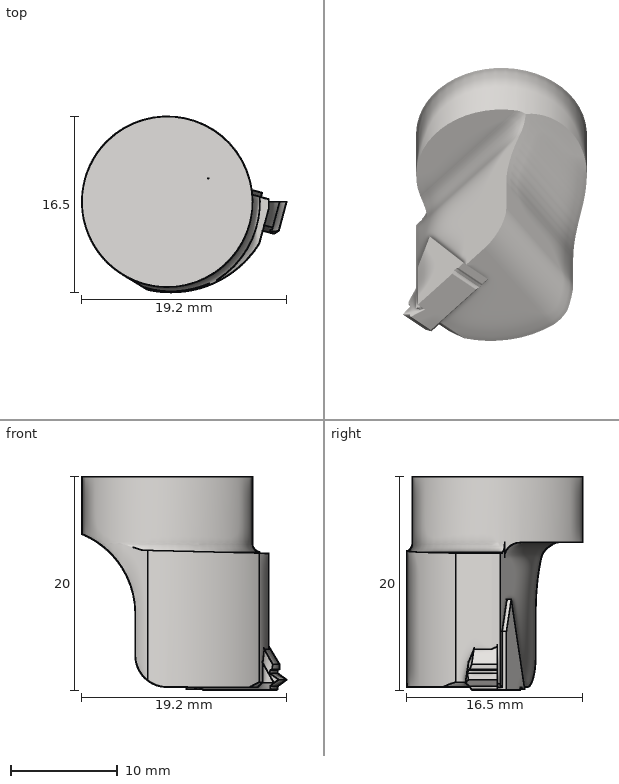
import cadquery as cq
import math

disc_radius = 8.0
total_height = 20.0
disc_bottom = 13.85

head_bottom = 0.28
tilt = math.radians(15)
side_offset = 9.35
back_depth = -2.7
side_limit_x = 9.55
nose_x, nose_y = 0.4, 1.2
nose_radius = 9.7
flat_angle = math.radians(-121.5)
flat_end_x = -1.85

ledge_left_z = 13.1
ledge_right_z = 12.82
flare_width, flare_height = 0.7, 0.9
back_fillet = 1.4

wall_x = -3.0
clearance_radius = 8.0
clearance_z = 7.2
heel_radius = 3.0

side_chamfer_width = 0.55
side_chamfer_height = 0.48

insert_back = -3.12
insert_front = 0.32
rake_start = 8.38
land_u, land_top, land_bottom = 10.18, 2.42, 1.95
notch_u, notch_top, notch_bottom = 10.02, 1.88, 1.58
tip_x, tip_z = 11.2, 0.98
heel_u, heel_z = 10.0, 0.35
edge_break = 0.1
rest_start, rest_rise = 3.45, 0.25
left_tooth_start, left_tooth_end, left_tooth_z = 1.8, 2.6, 0.08
flank_angle = math.radians(60)
bevel_u, bevel_z = 9.85, 1.68
bevel_width, bevel_depth = 2.5, 2.1
front_chamfer_height, front_chamfer_depth = 0.7, 0.52

REACH = 40.0
cos_t = math.cos(tilt)
sin_t = math.sin(tilt)


def tilted_plane(depth=0.0):
    """Upright plane of the insert: u runs along the back face, depth goes into the head."""
    origin = (-depth * sin_t, -depth * cos_t, 0)
    return cq.Plane(origin=origin, xDir=(cos_t, -sin_t, 0), normal=(-sin_t, -cos_t, 0))


def plan_point(u, depth):
    return (u * cos_t - depth * sin_t, -u * sin_t - depth * cos_t)


def nose_point(angle):
    return (nose_x + nose_radius * math.cos(angle), nose_y + nose_radius * math.sin(angle))


def cylinder(radius, bottom, top):
    return cq.Workplane("XY").workplane(offset=bottom).circle(radius).extrude(top - bottom)


def head_blank():
    tangent = (disc_radius * math.cos(flat_angle), disc_radius * math.sin(flat_angle))
    flat_end_y = tangent[1] - (flat_end_x - tangent[0]) / math.tan(flat_angle)
    flat_end = (flat_end_x, flat_end_y)
    nose_u = nose_x * cos_t - nose_y * sin_t
    nose_end_angle = -tilt - math.acos((side_offset - nose_u) / nose_radius)
    nose_start_angle = math.atan2(flat_end_y - nose_y, flat_end_x - nose_x)
    nose_middle = nose_point((nose_start_angle + nose_end_angle) / 2)
    side_end_y = (side_limit_x * cos_t - side_offset) / sin_t
    back_corner_y = -(back_depth + side_limit_x * sin_t) / cos_t
    back_left = plan_point(-math.sqrt(disc_radius**2 - back_depth**2), back_depth)
    return (
        cq.Workplane("XY").workplane(offset=head_bottom)
        .moveTo(*tangent)
        .lineTo(*flat_end)
        .threePointArc(nose_middle, nose_point(nose_end_angle))
        .lineTo(side_limit_x, side_end_y)
        .lineTo(side_limit_x, back_corner_y)
        .lineTo(*back_left)
        .threePointArc((-disc_radius, 0), tangent)
        .close()
        .extrude(disc_bottom - head_bottom)
    )


def ledge_cut():
    """Space above the sloping ledge, around the flare that runs up to the disc."""
    slope = (ledge_right_z - ledge_left_z) / (side_limit_x - flat_end_x)
    left_z = ledge_left_z + slope * (-REACH - flat_end_x)
    right_z = ledge_left_z + slope * (REACH - flat_end_x)
    above = (
        cq.Workplane("XZ")
        .polyline([(-REACH, left_z), (REACH, right_z), (REACH, disc_bottom), (-REACH, disc_bottom)])
        .close()
        .extrude(REACH, both=True)
    )
    flare_bottom = disc_bottom - flare_height
    sag = 1 - math.sqrt(0.5)
    flare_middle = (disc_radius + flare_width * sag, flare_bottom + flare_height * sag)
    flare = (
        cq.Workplane("XZ")
        .moveTo(0, head_bottom)
        .lineTo(disc_radius + flare_width, head_bottom)
        .lineTo(disc_radius + flare_width, flare_bottom)
        .threePointArc(flare_middle, (disc_radius, disc_bottom))
        .lineTo(0, disc_bottom)
        .close()
        .revolve(360, (0, 0, 0), (0, 1, 0))
    )
    return above.cut(flare)


def back_web():
    """Concave fillet between the underside of the disc and the back face."""
    block = (
        cq.Workplane(tilted_plane(back_depth - back_fillet))
        .rect(2 * REACH, 2 * disc_bottom)
        .extrude(back_fillet)
        .intersect(cylinder(disc_radius, disc_bottom - back_fillet, disc_bottom))
    )
    axis_x, axis_y = plan_point(-REACH, back_depth - back_fillet)
    axis_plane = cq.Plane(
        origin=(axis_x, axis_y, disc_bottom - back_fillet),
        xDir=(0, 0, 1),
        normal=(cos_t, -sin_t, 0),
    )
    hollow = cq.Workplane(axis_plane).circle(back_fillet).extrude(2 * REACH)
    return block.cut(hollow)


def clearance_cut():
    """Space on the -X side: large arc, upright wall and rounded heel."""
    arc_x = wall_x - clearance_radius
    diagonal = math.sqrt(0.5)
    heel_x, heel_centre_z = wall_x + heel_radius, head_bottom + heel_radius
    return (
        cq.Workplane("XZ")
        .moveTo(arc_x, clearance_z + clearance_radius)
        .threePointArc(
            (arc_x + clearance_radius * diagonal, clearance_z + clearance_radius * diagonal),
            (wall_x, clearance_z),
        )
        .lineTo(wall_x, heel_centre_z)
        .threePointArc(
            (heel_x - heel_radius * diagonal, heel_centre_z - heel_radius * diagonal),
            (heel_x, head_bottom),
        )
        .lineTo(arc_x, head_bottom)
        .close()
        .extrude(REACH, both=True)
    )


def side_chamfer_cut():
    return (
        cq.Workplane(tilted_plane())
        .moveTo(side_offset - side_chamfer_width, head_bottom)
        .lineTo(side_offset, head_bottom + side_chamfer_height)
        .lineTo(REACH, head_bottom + side_chamfer_height)
        .lineTo(REACH, head_bottom)
        .close()
        .extrude(REACH, both=True)
    )


def make_insert():
    right_foot = land_u + land_top / math.tan(flank_angle)
    left_foot = left_tooth_start - left_tooth_z / math.tan(flank_angle)
    apex_u = (left_foot + right_foot) / 2
    apex_z = (right_foot - left_foot) / 2 * math.tan(flank_angle)
    outline = [
        (apex_u, apex_z),
        (land_u, land_top),
        (land_u, land_bottom),
        (notch_u, notch_top),
        (notch_u, notch_bottom),
        (tip_x * cos_t, tip_z),
        (heel_u, heel_z),
        (heel_u, edge_break),
        (heel_u - edge_break, 0),
        (rest_start, 0),
        (rest_start - rest_rise, rest_rise),
        (left_tooth_end + rest_rise, rest_rise),
        (left_tooth_end, left_tooth_z),
        (left_tooth_start, left_tooth_z),
    ]
    thickness = insert_front - insert_back
    plate = cq.Workplane(tilted_plane(insert_back)).polyline(outline).close().extrude(thickness)

    beyond_rake = cq.Workplane("XZ").rect(2 * REACH, 2 * REACH).extrude(-REACH)
    tooth_zone = (
        cq.Workplane(tilted_plane())
        .rect(REACH, 2 * REACH)
        .extrude(REACH, both=True)
        .translate(((rake_start + REACH / 2) * cos_t, -(rake_start + REACH / 2) * sin_t, 0))
    )
    plate = plate.cut(beyond_rake.intersect(tooth_zone))

    flank_u, flank_z = math.sin(flank_angle), math.cos(flank_angle)
    normal_x, normal_y = plan_point(flank_u * bevel_depth, bevel_width)
    edge_x, edge_y = plan_point(bevel_u, insert_front)
    bevel_plane = cq.Plane(
        origin=(edge_x, edge_y, bevel_z),
        xDir=(-flank_z * cos_t, flank_z * sin_t, flank_u),
        normal=(normal_x, normal_y, flank_z * bevel_depth),
    )
    plate = plate.cut(cq.Workplane(bevel_plane).rect(REACH, REACH).extrude(REACH))
    return plate.cut(insert_front_chamfer())


def insert_front_chamfer():
    """Wedge along the lower front edge of the insert."""
    start_x, start_y = plan_point(-REACH, insert_front)
    section_plane = cq.Plane(
        origin=(start_x, start_y, 0),
        xDir=(sin_t, cos_t, 0),
        normal=(cos_t, -sin_t, 0),
    )
    return (
        cq.Workplane(section_plane)
        .polyline([(front_chamfer_depth, 0), (0, front_chamfer_height), (0, 0)])
        .close()
        .extrude(2 * REACH)
    )


def make_holder(insert):
    head = head_blank().cut(ledge_cut()).cut(side_chamfer_cut())
    disc = cylinder(disc_radius, disc_bottom, total_height)
    return disc.union(head).union(back_web()).cut(clearance_cut()).cut(insert)


insert = make_insert()
holder = make_holder(insert)

result = cq.Compound.makeCompound([holder.solids().val(), insert.solids().val()])